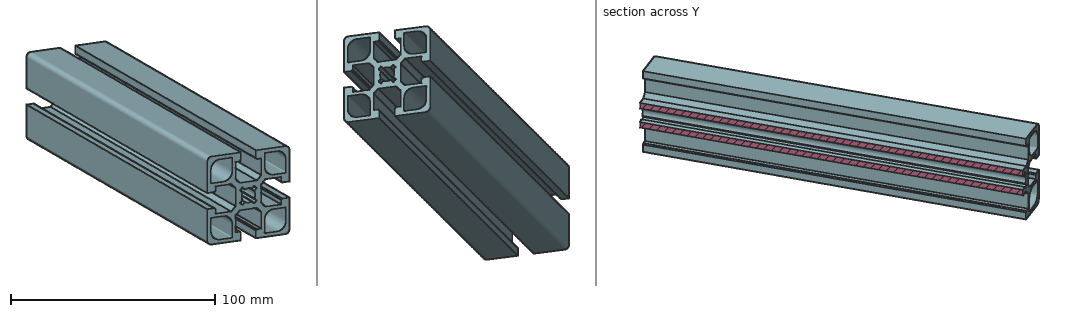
import cadquery as cq

length = 200.0
side = 45.0
corner_diameter = 5.0

slot_opening = 8.2
lip_depth = 4.5
lip_chamfer = 0.5
chamber_width = 14.0
chamber_chamfer = 2.5

outer_wall = 2.0
inner_wall = 1.8
cavity_large_radius = 5.0
cavity_small_radius = 0.5

bore_diameter = 7.5
relief_width = 1.8
relief_reach = 5.5

half_side = side / 2
core_half = chamber_width / 2
CORNERS = [(1, 1), (1, -1), (-1, 1), (-1, -1)]


def bar_blank():
    """Solid square bar with rounded long edges."""
    return cq.Workplane("YZ").rect(side, side).extrude(length).edges("|X").fillet(corner_diameter / 2)


def slot_cutter():
    """T-shaped slot open on the +Z side of the bar."""
    chamber_top = half_side - lip_depth
    chamber_height = chamber_top - core_half
    chamber = (
        cq.Workplane("YZ")
        .center(0, core_half + chamber_height / 2)
        .rect(chamber_width, chamber_height)
        .extrude(length)
        .edges("|X and <Z")
        .chamfer(chamber_chamfer)
    )
    opening = (
        cq.Workplane("YZ")
        .center(0, (core_half + half_side) / 2)
        .rect(slot_opening, half_side - core_half)
        .extrude(length)
    )
    slot = chamber.union(opening)
    margin = lip_chamfer / 2
    lip_edges = cq.selectors.BoxSelector(
        (0, -slot_opening / 2 - margin, chamber_top - margin),
        (length, slot_opening / 2 + margin, chamber_top + margin),
    )
    return slot.edges("|X").edges(lip_edges).chamfer(lip_chamfer)


def cavity_cutter(y_sign, z_sign):
    """Hollow in one corner, widely rounded along the diagonal of the bar."""
    near = core_half + inner_wall
    far = half_side - outer_wall
    middle = (near + far) / 2
    cavity = (
        cq.Workplane("YZ")
        .center(y_sign * middle, z_sign * middle)
        .rect(far - near, far - near)
        .extrude(length)
    )
    diagonal = (0, y_sign, z_sign)
    across = (0, y_sign, -z_sign)
    for direction, radius in ((diagonal, cavity_large_radius), (across, cavity_small_radius)):
        for sign in (1, -1):
            toward = cq.Vector(*direction) * sign
            corner = cavity.edges("|X").edges(cq.selectors.DirectionMinMaxSelector(toward, True))
            cavity = corner.fillet(radius)
    return cavity


def bore_cutter():
    """Central bore merged with its two crossing relief slots, turned 45 degrees."""
    bore = cq.Workplane("YZ").circle(bore_diameter / 2).extrude(length)
    for angle in (45, -45):
        relief = cq.Workplane("YZ").rect(2 * relief_reach, relief_width).extrude(length)
        bore = bore.union(relief.rotate((0, 0, 0), (1, 0, 0), angle))
    return bore


profile = bar_blank()
slot = slot_cutter()
for quarter_turn in range(4):
    profile = profile.cut(slot.rotate((0, 0, 0), (1, 0, 0), 90 * quarter_turn))
for y_sign, z_sign in CORNERS:
    profile = profile.cut(cavity_cutter(y_sign, z_sign))
profile = profile.cut(bore_cutter())

result = profile.translate((-length / 2, 0, 0))